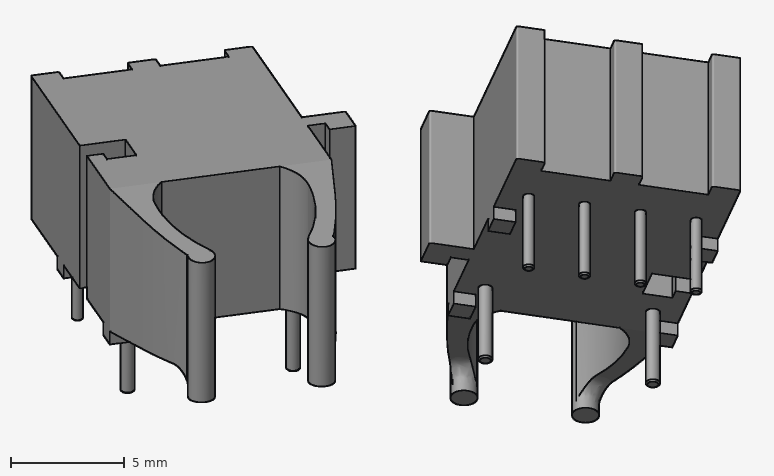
import cadquery as cq

total_length = 18.8
body_length = 12.0
body_width = 10.19
body_height = 6.97
corner_radius = 0.1
half_width = body_width / 2

rib_width = 1.3
groove_depth = 0.7
groove_width = (body_width - 3 * rib_width) / 2

hook_start = 7.5
hook_length = 1.55
hook_reach = 2.01
hook_stem = 0.9
hook_neck = 0.8

slot_start = 7.43
slot_length = 1.65
slot_depth = 2.1
slot_mouth = 1.09
slot_lip = 0.75

foot_size = 1.0
foot_height = 0.64
front_foot_start = body_length - foot_size
rear_foot_start = 4.0
pin_length = 3.8
pin_spacing = 2.54
pin_chamfer = 0.08
small_pin_diameter = 0.5
small_pin_x = 2.84
large_pin_diameter = 0.64
large_pin_x = 10.43

post_radius = 0.6
post_x = total_length - post_radius
post_y = 2.76
arm_taper = 0.79
post_fillet = 0.79
slab_overrun = 2.82
arm_root_inner_y = 2.7
outer_bend = (14.8, 4.42)
outer_tip = (18.0, 3.38)
inner_tip = (17.86, 2.25)
inner_middle = (16.47, 2.99)
inner_bend = (13.69, 3.52)


def block(x, y, z, length, width, height):
    """Box with its lowest corner at (x, y, z)."""
    return cq.Workplane("XY").box(length, width, height, centered=False).translate((x, y, z))


def make_body():
    """Block with three rounded ribs left between two grooves on its back face."""
    body = block(0, -half_width, 0, body_length, body_width, body_height)
    for side in (-1, 1):
        groove_y = side * (rib_width + groove_width) / 2 - groove_width / 2
        body = body.cut(block(0, groove_y, 0, groove_depth, groove_width, body_height))
    return body.faces("<X").edges("|Z").fillet(corner_radius)


def make_hook():
    """L-shaped hook standing out from the +Y side."""
    head_width = hook_reach - hook_neck
    stem = block(hook_start, half_width, 0, hook_stem, hook_reach, body_height)
    head = block(hook_start, half_width + hook_neck, 0, hook_length, head_width, body_height)
    return stem.union(head).edges("|Z and <X and >Y").fillet(corner_radius)


def make_slot():
    """Space of the L-shaped slot that receives a neighbour's hook."""
    mouth = block(slot_start, -half_width, 0, slot_mouth, slot_lip, body_height)
    pocket_width = slot_depth - slot_lip
    pocket = block(slot_start, -half_width + slot_lip, 0, slot_length, pocket_width, body_height)
    return mouth.union(pocket)


def make_pin(x, y, diameter):
    """Round pin with a chamfered tip, hanging from the body's underside."""
    pin = cq.Workplane("XY").circle(diameter / 2).extrude(-pin_length)
    return pin.faces("<Z").chamfer(pin_chamfer).translate((x, y, 0))


def make_post(top):
    """Round post from the level of the feet up to the given height."""
    return (
        cq.Workplane("XY", origin=(post_x, post_y, -foot_height))
        .circle(post_radius)
        .extrude(top + foot_height)
    )


def make_web_outline():
    """Full-height prism with the plan shape of the +Y arm up to its post."""
    return (
        cq.Workplane("XY")
        .workplane(offset=-foot_height)
        .moveTo(body_length, half_width)
        .lineTo(*outer_bend)
        .tangentArcPoint(outer_tip, relative=False)
        .lineTo(post_x, post_y)
        .lineTo(*inner_tip)
        .threePointArc(inner_middle, inner_bend)
        .tangentArcPoint((body_length, arm_root_inner_y), relative=False)
        .close()
        .extrude(body_height + foot_height)
    )


def make_arm():
    """Tapering web cut from a slab, ending in a post that is filleted to its underside."""
    slab_end = total_length + slab_overrun
    end_taper = arm_taper * (slab_end - body_length) / (total_length - body_length)
    slab = (
        cq.Workplane("XZ")
        .moveTo(body_length, 0)
        .lineTo(slab_end, end_taper)
        .lineTo(slab_end, body_height - end_taper)
        .lineTo(body_length, body_height)
        .close()
        .extrude(-body_width)
    )
    post = make_post(body_height / 2)
    junction = cq.selectors.BoxSelector(
        (post_x - 2 * post_radius, post_y - 2 * post_radius, 0),
        (post_x + 2 * post_radius, post_y + 2 * post_radius, 2 * arm_taper),
    )
    blank = slab.union(post).edges(junction).edges("not |Z").fillet(post_fillet)
    tapered_post = make_post(body_height).intersect(slab).union(post)
    return blank.intersect(make_web_outline()).union(tapered_post)


result = make_body().union(make_hook()).cut(make_slot())

for foot_x in (rear_foot_start, front_foot_start):
    for foot_y in (-half_width, half_width - foot_size):
        result = result.union(block(foot_x, foot_y, -foot_height, foot_size, foot_size, foot_height))

outer_pin_y = 1.5 * pin_spacing
inner_pin_y = 0.5 * pin_spacing
for pin_y in (-outer_pin_y, -inner_pin_y, inner_pin_y, outer_pin_y):
    result = result.union(make_pin(small_pin_x, pin_y, small_pin_diameter))
for pin_y in (-outer_pin_y, outer_pin_y):
    result = result.union(make_pin(large_pin_x, pin_y, large_pin_diameter))

upper_arm = make_arm()
result = result.union(upper_arm).union(upper_arm.mirror("XZ"))